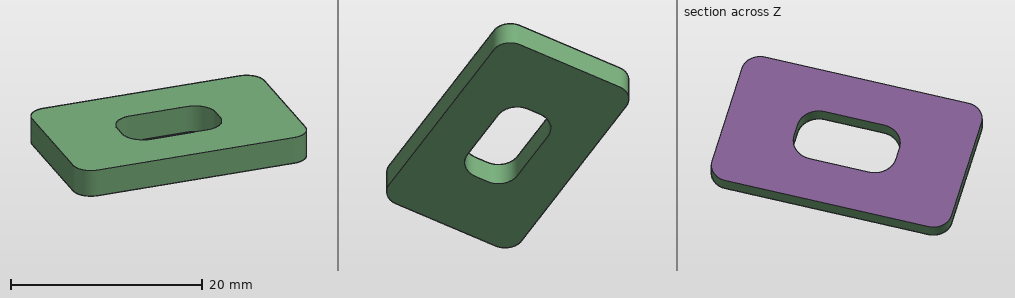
import cadquery as cq

plate_width = 16.0
plate_length = 26.0
plate_thickness = 3.0
plate_corner_radius = 2.0

window_width = 6.0
window_length = 11.0
window_corner_radius = 2.3


def rounded_block(width, length, corner_radius):
    """Block of plate thickness with rounded vertical edges, resting on Z = 0."""
    block = cq.Workplane("XY").rect(width, length).extrude(plate_thickness)
    return block.edges("|Z").fillet(corner_radius)


plate = rounded_block(plate_width, plate_length, plate_corner_radius)
window = rounded_block(window_width, window_length, window_corner_radius)

result = plate.cut(window)